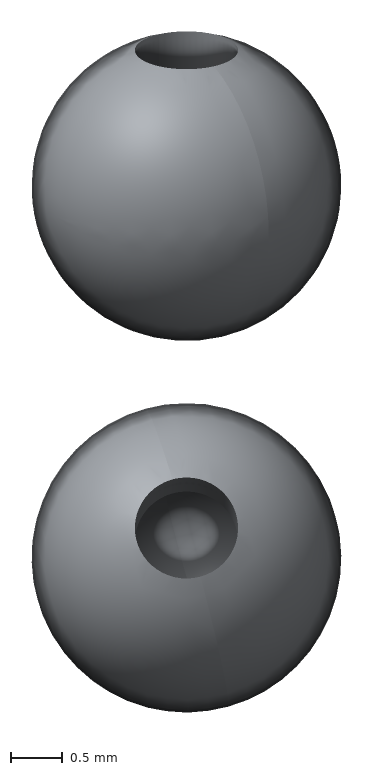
import cadquery as cq

ball_radius = 1.5
cavity_radius = 0.9
hole_radius = 0.5


def make_half_ball(radius):
    """Half ball centred on the origin, flat on the XZ plane, with its pole at -Y."""
    flat_face = cq.Workplane("XY").lineTo(radius, 0)
    profile = flat_face.radiusArc((0, -radius), radius).close()
    return profile.revolve(360, (0, 0, 0), (0, 1, 0))


def make_half_shell():
    """The -Y half of the hollow ball, with its half of the opening at the top."""
    hole = cq.Workplane("XY").circle(hole_radius).extrude(ball_radius)
    return make_half_ball(ball_radius).cut(make_half_ball(cavity_radius)).cut(hole)


half_shell = make_half_shell()
result = half_shell.union(half_shell.mirror("XZ"), clean=False)